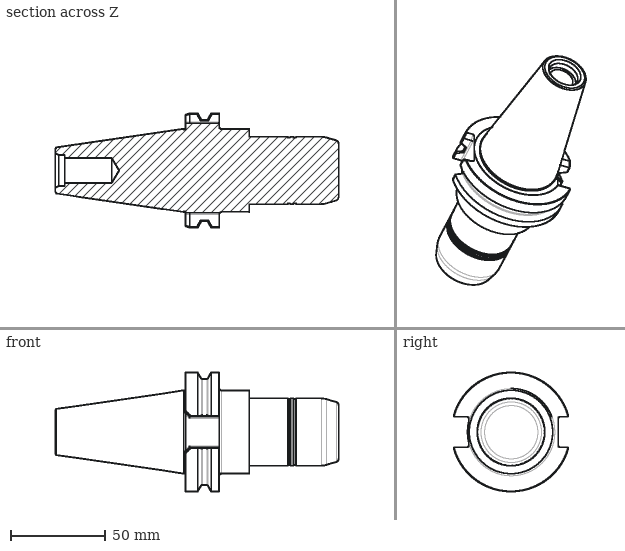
import cadquery as cq
import math

TAPER_LENGTH = 68.25
FLANGE_BACK_X = 0.95
FLANGE_FRONT_X = 19.05
COLLAR_END_X = 35.0
NOSE_END_X = 82.55

GAUGE_RADIUS = 44.45 / 2
TAPER_RATIO = 7 / 24
SMALL_END_RADIUS = GAUGE_RADIUS - TAPER_LENGTH * TAPER_RATIO / 2
SMALL_END_CHAMFER_LENGTH = 0.5
SMALL_END_CHAMFER_DEPTH = 0.9
NECK_RADIUS = 21.9

FLANGE_RADIUS = 63.5 / 2
RIM_CHAMFER = 0.25
FACE_RECESS_RADIUS = 25.0
FACE_RECESS_DEPTH = 0.2
GROOVE_CENTRE_X = 11.1
GROOVE_HALF_WIDTH = 3.6
GROOVE_BOTTOM_RADIUS = 28.3
GROOVE_FLANK_ANGLE = 30.0
GROOVE_FILLET = 0.6

SLOT_HALF_WIDTH = 8.05
SLOT_FLOORS = ((-1, 22.5), (1, 25.15))
SLOT_ENTRY_CHAMFER = 2.4
SLOT_FLOOR_FILLET = 0.8
SLOT_RIM_CHAMFER = 0.7

COLLAR_RADIUS = 22.2
COLLAR_FILLET = 1.0
NOSE_RADIUS = 18.0
RING_GROOVE_CENTRES = (56.15, 59.1)
RING_GROOVE_WIDTH = 1.7
RING_GROOVE_DEPTH = 0.4
TIP_START_X = 73.1
TIP_BLEND_RADIUS = 10.0
TIP_ANGLE = 16.0
TIP_EDGE_FILLET = 2.0

BORE_MOUTH_RADIUS = 9.2
PILOT_RADIUS = 8.15
PILOT_DEPTH = 5.0
MOUTH_CONE_ANGLE = 30.0
DRILL_RADIUS = 6.6
DRILL_DEPTH = 30.0
DRILL_POINT_ANGLE = 118.0

SELECT_MARGIN = 0.1
RIM_SELECT_REACH = 2.0


def revolve_about_x(sketch):
    """Revolve a closed XY outline a full turn about the X axis."""
    return sketch.revolve(360, (0, 0, 0), (1, 0, 0))


def make_shank():
    """Taper and the short relief neck that joins it to the flange."""
    chamfer_x = -TAPER_LENGTH + SMALL_END_CHAMFER_LENGTH
    chamfer_radius = SMALL_END_RADIUS + SMALL_END_CHAMFER_LENGTH * TAPER_RATIO / 2
    neck_end_x = FLANGE_BACK_X + FACE_RECESS_DEPTH
    outline = (
        cq.Workplane("XY")
        .moveTo(-TAPER_LENGTH, 0)
        .lineTo(-TAPER_LENGTH, SMALL_END_RADIUS - SMALL_END_CHAMFER_DEPTH)
        .lineTo(chamfer_x, chamfer_radius)
        .lineTo(0, GAUGE_RADIUS)
        .lineTo(0, NECK_RADIUS)
        .lineTo(neck_end_x, NECK_RADIUS)
        .lineTo(neck_end_x, 0)
        .close()
    )
    return revolve_about_x(outline)


def make_v_groove():
    """Ring to remove from the flange rim, with sharp bottom corners."""
    depth = FLANGE_RADIUS - GROOVE_BOTTOM_RADIUS
    flank_run = depth * math.tan(math.radians(GROOVE_FLANK_ANGLE))
    bottom_half_width = GROOVE_HALF_WIDTH - flank_run
    outline = cq.Workplane("XY").polyline(
        [
            (GROOVE_CENTRE_X - GROOVE_HALF_WIDTH, FLANGE_RADIUS),
            (GROOVE_CENTRE_X - bottom_half_width, GROOVE_BOTTOM_RADIUS),
            (GROOVE_CENTRE_X + bottom_half_width, GROOVE_BOTTOM_RADIUS),
            (GROOVE_CENTRE_X + GROOVE_HALF_WIDTH, FLANGE_RADIUS),
        ]
    ).close()
    return revolve_about_x(outline)


def make_slot(side, floor):
    """Cutter for one drive slot, flared where it opens to the shank side."""
    flare = SLOT_HALF_WIDTH + SLOT_ENTRY_CHAMFER
    flare_end_x = FLANGE_BACK_X + SLOT_ENTRY_CHAMFER
    outline = (
        cq.Workplane("XZ", origin=(0, side * floor, 0))
        .polyline(
            [
                (FLANGE_BACK_X, -flare),
                (flare_end_x, -SLOT_HALF_WIDTH),
                (FLANGE_FRONT_X, -SLOT_HALF_WIDTH),
                (FLANGE_FRONT_X, SLOT_HALF_WIDTH),
                (flare_end_x, SLOT_HALF_WIDTH),
                (FLANGE_BACK_X, flare),
            ]
        )
        .close()
    )
    slot = outline.extrude(-side * FLANGE_RADIUS)
    floor_face = "<Y" if side > 0 else ">Y"
    floor_sides = slot.faces(floor_face).edges("not(|Z)")
    return floor_sides.fillet(SLOT_FLOOR_FILLET)


def chamfer_slot_rims(flange):
    """Break the edges where the slot walls meet the rim and the V-groove."""
    z_start = SLOT_HALF_WIDTH - SELECT_MARGIN
    z_end = SLOT_HALF_WIDTH + SLOT_ENTRY_CHAMFER
    for side, level in ((-1, -1), (-1, 1), (1, -1), (1, 1)):
        beside_slot = cq.selectors.BoxSelector(
            (FLANGE_BACK_X + SELECT_MARGIN, side * (GROOVE_BOTTOM_RADIUS - RIM_SELECT_REACH), level * z_start),
            (FLANGE_FRONT_X - SELECT_MARGIN, side * FLANGE_RADIUS, level * z_end),
        )
        flange = flange.edges(beside_slot).edges("not(|Y)").chamfer(SLOT_RIM_CHAMFER)
    return flange


def make_flange_envelope():
    """Flange disc with chamfered rims, before any groove or slot."""
    length = FLANGE_FRONT_X - FLANGE_BACK_X
    disc = cq.Workplane("YZ", origin=(FLANGE_BACK_X, 0, 0)).circle(FLANGE_RADIUS).extrude(length)
    return disc.edges("%CIRCLE").chamfer(RIM_CHAMFER)


def round_groove_bottom(flange):
    """Fillet the inner corners of the V-groove."""
    half_span = GROOVE_HALF_WIDTH - SELECT_MARGIN
    inside_groove = cq.selectors.BoxSelector(
        (GROOVE_CENTRE_X - half_span, -FLANGE_RADIUS, -FLANGE_RADIUS),
        (GROOVE_CENTRE_X + half_span, FLANGE_RADIUS, FLANGE_RADIUS),
    )
    floor_edges = flange.edges("%CIRCLE").edges(inside_groove)
    return floor_edges.fillet(GROOVE_FILLET)


def make_flange():
    """Grooved flange with a shallow face recess and two drive slots."""
    length = FLANGE_FRONT_X - FLANGE_BACK_X
    back_plane = cq.Workplane("YZ", origin=(FLANGE_BACK_X, 0, 0))
    flange = back_plane.circle(FLANGE_RADIUS).extrude(length).cut(make_v_groove())
    for side, floor in SLOT_FLOORS:
        flange = flange.cut(make_slot(side, floor))
    flange = round_groove_bottom(chamfer_slot_rims(flange))
    flange = flange.intersect(make_flange_envelope())
    return flange.cut(back_plane.circle(FACE_RECESS_RADIUS).extrude(FACE_RECESS_DEPTH))


def make_front_body():
    """Collar and nose in front of the flange, with a blended conical tip."""
    tip = math.radians(TIP_ANGLE)
    half_tip = tip / 2
    blend_drop_mid = TIP_BLEND_RADIUS * (1 - math.cos(half_tip))
    blend_drop_end = TIP_BLEND_RADIUS * (1 - math.cos(tip))
    blend_end_x = TIP_START_X + TIP_BLEND_RADIUS * math.sin(tip)
    blend_end_radius = NOSE_RADIUS - blend_drop_end
    tip_radius = blend_end_radius - (NOSE_END_X - blend_end_x) * math.tan(tip)
    fillet_mid = COLLAR_FILLET * (1 - math.sqrt(0.5))
    outline = (
        cq.Workplane("XY")
        .moveTo(FLANGE_FRONT_X, 0)
        .lineTo(FLANGE_FRONT_X, COLLAR_RADIUS + COLLAR_FILLET)
        .threePointArc(
            (FLANGE_FRONT_X + fillet_mid, COLLAR_RADIUS + fillet_mid),
            (FLANGE_FRONT_X + COLLAR_FILLET, COLLAR_RADIUS),
        )
        .lineTo(COLLAR_END_X, COLLAR_RADIUS)
        .lineTo(COLLAR_END_X, NOSE_RADIUS)
        .lineTo(TIP_START_X, NOSE_RADIUS)
        .threePointArc(
            (TIP_START_X + TIP_BLEND_RADIUS * math.sin(half_tip), NOSE_RADIUS - blend_drop_mid),
            (blend_end_x, blend_end_radius),
        )
        .lineTo(NOSE_END_X, tip_radius)
        .lineTo(NOSE_END_X, 0)
        .close()
    )
    body = revolve_about_x(outline)
    return body.faces(">X").edges().fillet(TIP_EDGE_FILLET)


def make_ring_groove(centre_x):
    """Ring with 45 degree flanks to remove from the nose."""
    half_width = RING_GROOVE_WIDTH / 2
    half_floor = half_width - RING_GROOVE_DEPTH
    floor_radius = NOSE_RADIUS - RING_GROOVE_DEPTH
    outline = (
        cq.Workplane("XY")
        .polyline(
            [
                (centre_x - half_width, NOSE_RADIUS),
                (centre_x - half_floor, floor_radius),
                (centre_x + half_floor, floor_radius),
                (centre_x + half_width, NOSE_RADIUS),
            ]
        )
        .close()
    )
    return revolve_about_x(outline)


def make_bore():
    """Pull-stud bore: conical mouth, pilot, drilled hole with a conical end."""
    mouth_depth = (BORE_MOUTH_RADIUS - PILOT_RADIUS) / math.tan(math.radians(MOUTH_CONE_ANGLE))
    point_length = DRILL_RADIUS / math.tan(math.radians(DRILL_POINT_ANGLE / 2))
    mouth_x = -TAPER_LENGTH
    outline = cq.Workplane("XY").polyline(
        [
            (mouth_x, 0),
            (mouth_x, BORE_MOUTH_RADIUS),
            (mouth_x + mouth_depth, PILOT_RADIUS),
            (mouth_x + PILOT_DEPTH, PILOT_RADIUS),
            (mouth_x + PILOT_DEPTH, DRILL_RADIUS),
            (mouth_x + DRILL_DEPTH, DRILL_RADIUS),
            (mouth_x + DRILL_DEPTH + point_length, 0),
        ]
    ).close()
    return revolve_about_x(outline)


result = make_shank().union(make_flange()).union(make_front_body())
for centre_x in RING_GROOVE_CENTRES:
    result = result.cut(make_ring_groove(centre_x))
result = result.cut(make_bore())